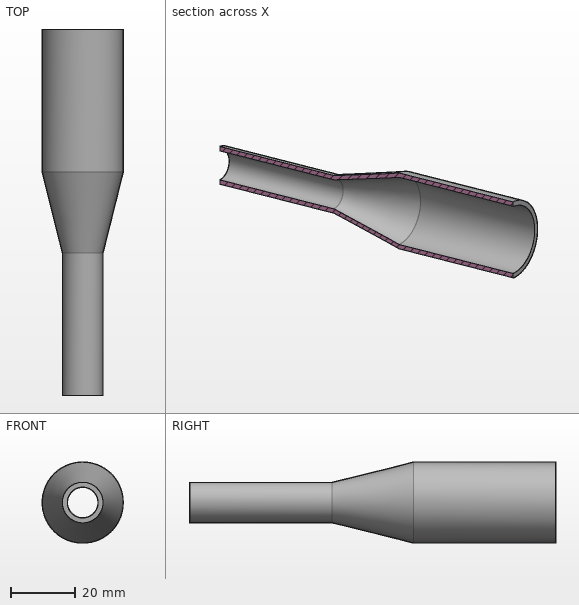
import cadquery as cq

total_length = 114.3
large_diameter = 25.4
small_diameter = large_diameter / 2
wall = 1.6
cone_length = 25.4
tube_length = (total_length - cone_length) / 2

small_end = -total_length / 2
cone_start = small_end + tube_length
cone_end = cone_start + cone_length
large_end = total_length / 2

small_radius = small_diameter / 2
large_radius = large_diameter / 2

wall_section = (
    cq.Workplane("XY")
    .moveTo(small_radius, small_end)
    .lineTo(small_radius, cone_start)
    .lineTo(large_radius, cone_end)
    .lineTo(large_radius, large_end)
    .lineTo(large_radius - wall, large_end)
    .lineTo(large_radius - wall, cone_end)
    .lineTo(small_radius - wall, cone_start)
    .lineTo(small_radius - wall, small_end)
    .close()
)

result = wall_section.revolve(360, (0, 0, 0), (0, 1, 0))